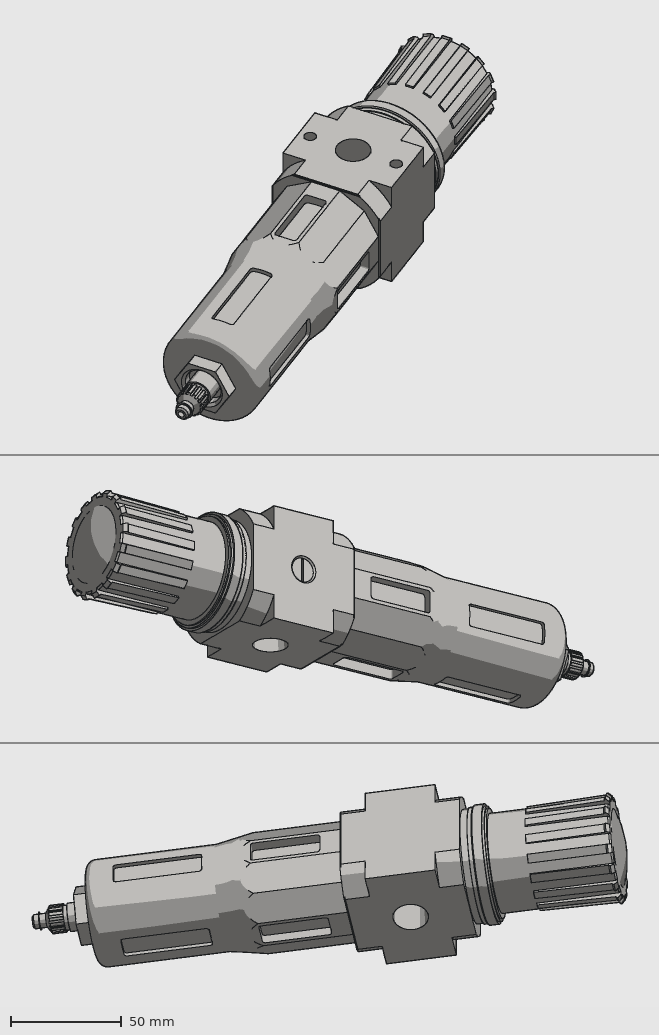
import cadquery as cq
import math


block_width = 55.0
block_top = 27.2
block_bottom = -block_top
end_plate_width = 53.5
end_plate_bottom = -27.7
corner_radius = 31.8
corner_length = 11.1
port_diameter = 16.0
screw_hole_diameter = 5.7
screw_hole_depth = 8.2
screw_hole_offset = 21.7
plug_diameter = 11.5
plug_rim_diameter = 13.0
plug_recess_depth = 0.8
plug_slot_width = 1.0
plug_slot_depth = 1.4

collar_top = 39.1
collar_top_radius = 25.3
collar_step_y = 38.3
collar_step_radius = 26.5
collar_rim_top = 37.2
collar_rim_bottom = 32.3
collar_rim_radius = block_width / 2
collar_rim_chamfer = 0.5
collar_lower_y = 30.5
collar_lower_radius = 26.6
collar_foot_radius = 26.0

knob_radius = 22.8
knob_shoulder_y = 95.0
knob_edge_chamfer = 0.8
dome_radius = 18.0
dome_top = 98.7
rib_count = 16
rib_width = 4.0
rib_root_radius = 20.5
rib_radius = 24.5
rib_end_radius = 23.6
rib_bottom = 56.5
rib_lip_radius = 25.3
rib_lip_y = 93.5
rib_lip_height = 0.8

bowl_top = end_plate_bottom
facet_count = 12
facet_apothem = 26.6
facet_corner_radius = facet_apothem / math.cos(math.pi / facet_count)
cone_top = -68.8
cone_bottom = -86.0
bowl_radius = 24.5
bowl_bottom = -145.7
bowl_fillet = 4.3
window_width = 11.0
window_corner = 1.4
window_floor_radius = 22.5
upper_window_span = (-68.8, -37.0)
lower_window_span = (-132.0, -91.5)
hex_bottom = -152.2
hex_across_flats = 24.0
drain_hole_diameter = 18.0
drain_hole_chamfer = 1.4
drain_hole_depth = 5.5

stem_radius = 6.5
stem_bottom = -156.5
neck_radius = 5.7
knurl_top = -158.5
knurl_bottom = -164.7
knurl_cone_bottom = -167.0
knurl_count = 16
knurl_groove_width = 1.0
nipple_radius = 3.3
nipple_flange_radius = 4.0
nipple_flange_y = -170.0
nipple_flange_thickness = 0.3
drain_bottom = dome_top - 271.8
nipple_end_chamfer = 0.8
drain_bore_diameter = 3.0
drain_bore_depth = 4.0


def turned(profile):
    """Solid of revolution about Y from (radius, y) points that start and end on the axis."""
    return cq.Workplane("XY").polyline(profile).close().revolve(360, (0, 0, 0), (0, 1, 0))


def rod(radius, bottom, top):
    """Cylinder along Y."""
    return turned([(0, bottom), (radius, bottom), (radius, top), (0, top)])


def box(width, bottom, top, depth):
    """Box centred on the Y axis in X and Z."""
    return cq.Workplane("XY").box(width, top - bottom, depth).translate((0, (top + bottom) / 2, 0))


def turn_about_axis(shape, angle):
    return shape.rotate((0, 0, 0), (0, 1, 0), angle)


def make_housing():
    block = box(block_width, block_bottom, block_top, block_width)
    round_core = block.intersect(rod(corner_radius, block_bottom, block_top))
    square_middle = box(block_width, block_bottom + corner_length, block_top - corner_length, block_width)
    end_plate = box(end_plate_width, end_plate_bottom, block_bottom, end_plate_width)
    end_plate = end_plate.intersect(rod(corner_radius, end_plate_bottom, block_bottom))
    collar = turned([
        (0, block_top),
        (collar_foot_radius, block_top),
        (collar_foot_radius, collar_lower_y),
        (collar_lower_radius, collar_lower_y),
        (collar_lower_radius, collar_rim_bottom),
        (collar_rim_radius - collar_rim_chamfer, collar_rim_bottom),
        (collar_rim_radius, collar_rim_bottom + collar_rim_chamfer),
        (collar_rim_radius, collar_rim_top),
        (collar_step_radius, collar_rim_top),
        (collar_step_radius, collar_step_y),
        (collar_top_radius, collar_step_y),
        (collar_top_radius, collar_top),
        (0, collar_top),
    ])
    housing = round_core.union(square_middle).union(end_plate).union(collar)

    half_width = block_width / 2
    port = cq.Workplane("XY").circle(port_diameter / 2).extrude(half_width, both=True)
    housing = housing.cut(port)

    for x in (-screw_hole_offset, screw_hole_offset):
        mouth = cq.Workplane("XY", origin=(x, 0, half_width))
        housing = housing.cut(mouth.circle(screw_hole_diameter / 2).extrude(-screw_hole_depth))

    return cut_plug(housing, -half_width)


def cut_plug(housing, face_x):
    """Slotted round plug face in a shallow countersink on the -X side."""
    mouth = cq.Workplane("YZ", origin=(face_x, 0, 0))
    rim_taper = math.degrees(math.atan((plug_rim_diameter - plug_diameter) / 2 / plug_recess_depth))
    recess = mouth.circle(plug_rim_diameter / 2).extrude(plug_recess_depth, taper=rim_taper)
    slot = mouth.rect(plug_slot_width, plug_diameter).extrude(plug_recess_depth + plug_slot_depth)
    return housing.cut(recess).cut(slot)


def make_knob():
    core = rod(knob_radius, collar_top, knob_shoulder_y).faces(">Y").chamfer(knob_edge_chamfer)
    dome_rise = dome_top - knob_shoulder_y
    sphere_radius = (dome_radius**2 + dome_rise**2) / (2 * dome_rise)
    ball = cq.Workplane("XY").sphere(sphere_radius).translate((0, dome_top - sphere_radius, 0))
    dome = ball.intersect(rod(dome_radius, knob_shoulder_y - knob_edge_chamfer, dome_top))
    knob = core.union(dome)

    profile = [
        (rib_bottom, rib_root_radius),
        (rib_bottom, rib_end_radius),
        (rib_lip_y - rib_lip_height, rib_radius),
        (rib_lip_y, rib_lip_radius),
        (knob_shoulder_y, rib_end_radius),
        (knob_shoulder_y, rib_root_radius),
    ]
    rib = cq.Workplane("YZ").polyline(profile).close().extrude(rib_width / 2, both=True)
    for i in range(rib_count):
        knob = knob.union(turn_about_axis(rib, i * 360 / rib_count))
    return knob


def window_cutter(span):
    """Rounded window on the +Z side, down to a cylindrical floor."""
    bottom, top = span
    prism = box(window_width, bottom, top, block_width).edges("|Z").fillet(window_corner)
    prism = prism.translate((0, 0, block_width / 2))
    return prism.cut(rod(window_floor_radius, bottom, top))


def make_bowl():
    bowl = turned([
        (0, bowl_bottom),
        (bowl_radius, bowl_bottom),
        (bowl_radius, cone_bottom),
        (facet_corner_radius, cone_top),
        (facet_corner_radius, bowl_top),
        (0, bowl_top),
    ])
    bowl = bowl.faces("<Y").edges().fillet(bowl_fillet)
    facets = cq.Workplane("XZ", origin=(0, bowl_top, 0)).polygon(facet_count, 2 * facet_corner_radius)
    facets = facets.extrude(bowl_top - bowl_bottom)
    bowl = bowl.intersect(turn_about_axis(facets, 180 / facet_count))

    for span in (upper_window_span, lower_window_span):
        for side in range(4):
            bowl = bowl.cut(turn_about_axis(window_cutter(span), side * 90))

    hex_corner_diameter = hex_across_flats / math.cos(math.pi / 6)
    nut = cq.Workplane("XZ", origin=(0, bowl_bottom, 0)).polygon(6, hex_corner_diameter)
    bowl = bowl.union(nut.extrude(bowl_bottom - hex_bottom))

    hole_radius = drain_hole_diameter / 2
    drain_hole = turned([
        (0, hex_bottom),
        (hole_radius + drain_hole_chamfer, hex_bottom),
        (hole_radius, hex_bottom + drain_hole_chamfer),
        (hole_radius, hex_bottom + drain_hole_depth),
        (0, hex_bottom + drain_hole_depth),
    ])
    return bowl.cut(drain_hole)


def make_drain():
    flange_top = nipple_flange_y + nipple_flange_thickness / 2
    flange_bottom = nipple_flange_y - nipple_flange_thickness / 2
    stem_top = hex_bottom + drain_hole_depth
    drain = turned([
        (0, stem_top),
        (stem_radius, stem_top),
        (stem_radius, stem_bottom),
        (neck_radius, stem_bottom),
        (neck_radius, knurl_top),
        (stem_radius, knurl_top),
        (stem_radius, knurl_bottom),
        (nipple_radius, knurl_cone_bottom),
        (nipple_radius, flange_top),
        (nipple_flange_radius, flange_top),
        (nipple_flange_radius, flange_bottom),
        (nipple_radius, flange_bottom),
        (nipple_radius, drain_bottom + nipple_end_chamfer),
        (nipple_radius - nipple_end_chamfer, drain_bottom),
        (0, drain_bottom),
    ])
    groove = box(knurl_groove_width, knurl_cone_bottom, knurl_top, stem_radius)
    groove = groove.translate((0, 0, neck_radius + stem_radius / 2))
    for i in range(knurl_count):
        drain = drain.cut(turn_about_axis(groove, (i + 0.5) * 360 / knurl_count))
    return drain.cut(rod(drain_bore_diameter / 2, drain_bottom, drain_bottom + drain_bore_depth))


housing = make_housing()
knob = make_knob()
bowl = make_bowl()
drain = make_drain()

result = cq.Compound.makeCompound([housing.val(), knob.val(), bowl.val(), drain.val()])